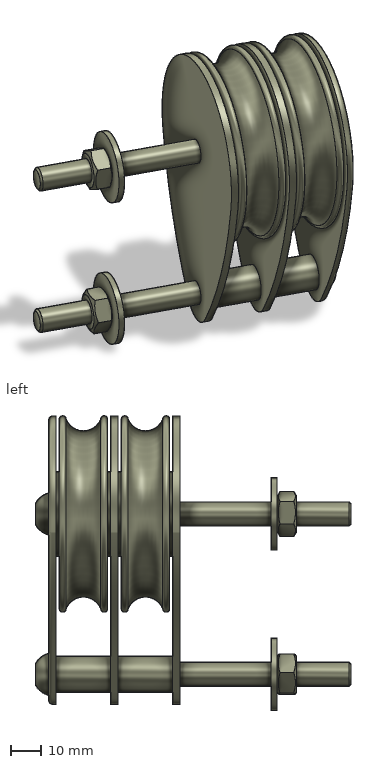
import cadquery as cq
import math


plate_thickness = 2.5
plate_count = 3
plate_top_radius = 32.5
plate_bottom_radius = 10.0
plate_flank_radius = 125.0
rear_edge_fillet = 1.5
axis_spacing = 53.0

sheave_radius = 32.5
sheave_width = 16.0
sheave_side_gap = 1.0
rim_width = 2.3
groove_bottom_radius = 27.5
hub_diameter = 28.0

spacer_diameter = 12.0

bolt_diameter = 8.0
bolt_length = 100.0
bolt_end_chamfer = 0.7
head_diameter = 14.0
head_height = 4.4
head_flat_diameter = 7.0

washer_diameter = 24.0
washer_thickness = 2.0
washer_offset = 30.0
nut_sides = 6
nut_across_flats = 13.0
nut_height = 6.5
nut_face_diameter = 11.6
nut_chamfer_angle = 30.0
upper_nut_angle = 26.0
lower_nut_angle = -4.0

layer_gap = sheave_width + 2 * sheave_side_gap
layer_pitch = layer_gap + plate_thickness
stack_depth = (plate_count - 1) * layer_pitch + plate_thickness
washer_start = stack_depth + washer_offset
nut_start = washer_start + washer_thickness


def cylinder(diameter, start, length, axis_z):
    """Cylinder along Y whose rear end lies `start` in front of the rear plate's outer face."""
    return (
        cq.Workplane("XZ", origin=(0, -start, axis_z))
        .circle(diameter / 2)
        .extrude(length)
    )


def revolve_about_y(profile):
    """Revolve a profile drawn in XY (radius along X) about the Y axis."""
    return profile.close().revolve(360, (0, 0, 0), (0, 1, 0))


def plate(start):
    """Egg-shaped plate: two end arcs joined by large arcs tangent to both."""
    to_top = plate_flank_radius - plate_top_radius
    to_bottom = plate_flank_radius - plate_bottom_radius
    top_sine = (to_bottom**2 - to_top**2 - axis_spacing**2) / (2 * to_top * axis_spacing)
    top_angle = math.asin(top_sine)
    bottom_angle = math.asin((axis_spacing + to_top * top_sine) / to_bottom)
    middle_angle = (top_angle + bottom_angle) / 2

    flank_center_x = -to_top * math.cos(top_angle)
    flank_center_z = to_top * top_sine

    top_x = plate_top_radius * math.cos(top_angle)
    top_z = -plate_top_radius * top_sine
    bottom_x = plate_bottom_radius * math.cos(bottom_angle)
    bottom_z = -axis_spacing - plate_bottom_radius * math.sin(bottom_angle)
    middle_x = flank_center_x + plate_flank_radius * math.cos(middle_angle)
    middle_z = flank_center_z - plate_flank_radius * math.sin(middle_angle)

    return (
        cq.Workplane("XZ", origin=(0, -start, 0))
        .moveTo(-top_x, top_z)
        .threePointArc((0, plate_top_radius), (top_x, top_z))
        .threePointArc((middle_x, middle_z), (bottom_x, bottom_z))
        .threePointArc((0, -axis_spacing - plate_bottom_radius), (-bottom_x, bottom_z))
        .threePointArc((-middle_x, middle_z), (-top_x, top_z))
        .close()
        .extrude(plate_thickness)
    )


def sheave(center):
    """Wheel with rounded rims and a round rope groove, centred `center` in front of Y = 0."""
    half_width = sheave_width / 2
    rim_center = half_width - rim_width / 2
    groove_edge = half_width - rim_width
    rim_base_radius = sheave_radius - rim_width / 2
    profile = (
        cq.Workplane("XY")
        .moveTo(0, -half_width)
        .lineTo(rim_base_radius, -half_width)
        .threePointArc((sheave_radius, -rim_center), (rim_base_radius, -groove_edge))
        .threePointArc((groove_bottom_radius, 0), (rim_base_radius, groove_edge))
        .threePointArc((sheave_radius, rim_center), (rim_base_radius, half_width))
        .lineTo(0, half_width)
    )
    return revolve_about_y(profile).translate((0, -center, 0))


def bolt(axis_z):
    """Button-head bolt with its head seated on the rear plate."""
    shank = cylinder(bolt_diameter, 0, bolt_length, axis_z).faces("<Y").chamfer(bolt_end_chamfer)

    head_radius = head_diameter / 2
    flat_radius = head_flat_diameter / 2
    sphere_center = (head_height**2 + flat_radius**2 - head_radius**2) / (2 * head_height)
    sphere_radius = math.hypot(head_radius, sphere_center)
    middle_height = head_height / 2
    middle_radius = math.sqrt(sphere_radius**2 - (middle_height - sphere_center) ** 2)
    profile = (
        cq.Workplane("XY")
        .lineTo(head_radius, 0)
        .threePointArc((middle_radius, middle_height), (flat_radius, head_height))
        .lineTo(0, head_height)
    )
    head = revolve_about_y(profile).translate((0, 0, axis_z))
    return shank.union(head)


def nut(axis_z, angle):
    """Hexagon nut with conical chamfers at both ends, turned by `angle` about its axis."""
    corner_radius = nut_across_flats / 2 / math.cos(math.pi / nut_sides)
    hexagon = (
        cq.Workplane("XZ")
        .polygon(nut_sides, 2 * corner_radius)
        .extrude(nut_height)
        .rotate((0, 0, 0), (0, 1, 0), -angle)
    )
    face_radius = nut_face_diameter / 2
    chamfer_height = (corner_radius - face_radius) * math.tan(math.radians(nut_chamfer_angle))
    envelope = revolve_about_y(
        cq.Workplane("XY")
        .lineTo(face_radius, 0)
        .lineTo(corner_radius, -chamfer_height)
        .lineTo(corner_radius, chamfer_height - nut_height)
        .lineTo(face_radius, -nut_height)
        .lineTo(0, -nut_height)
    )
    return hexagon.intersect(envelope).translate((0, -nut_start, axis_z))


result = plate(0).faces(">Y").edges().fillet(rear_edge_fillet)
for layer in range(1, plate_count):
    result = result.union(plate(layer * layer_pitch))

for layer in range(plate_count - 1):
    gap_start = layer * layer_pitch + plate_thickness
    result = result.union(cylinder(hub_diameter, gap_start, layer_gap, 0))
    result = result.union(sheave(gap_start + layer_gap / 2))
    result = result.union(cylinder(spacer_diameter, gap_start, layer_gap, -axis_spacing))

for bolt_z, nut_angle in ((0, upper_nut_angle), (-axis_spacing, lower_nut_angle)):
    result = result.union(bolt(bolt_z))
    result = result.union(cylinder(washer_diameter, washer_start, washer_thickness, bolt_z))
    result = result.union(nut(bolt_z, nut_angle))